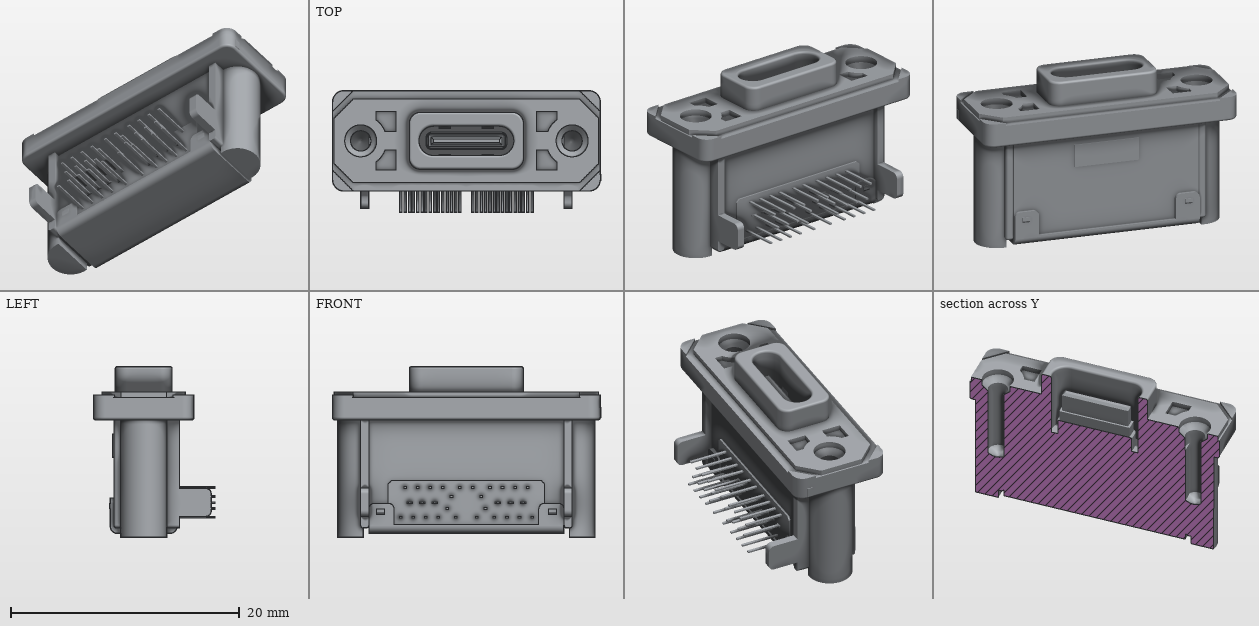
import cadquery as cq
import math


FLANGE_LENGTH = 23.44
FLANGE_WIDTH = 8.8
FLANGE_BOTTOM = 10.27
FLANGE_TOP = 12.23
CORNER_TOP = 12.47
FLANGE_CORNER_RADIUS = 1.0
FLANGE_BOTTOM_FILLET = 0.22
CORNER_LEG = 1.83
PLATE_LENGTH = 23.16
PLATE_WIDTH = 7.3
PLATE_CHAMFER = 1.67
PLATE_TOP = 12.73
GATE_DEPTH = 0.06
GATE_WIDTH = 0.5
GATE_Y = -3.2
GATE_TOP = 11.35

PLUG_LENGTH = 10.0
PLUG_WIDTH = 5.0
PLUG_TOP = 14.95
PLUG_CORNER_RADIUS = 1.0
PLUG_TOP_FILLET = 0.22
CAVITY_LENGTH = 8.3
CAVITY_WIDTH = 2.56
CAVITY_DEPTH = 6.2
CAVITY_MOUTH_FILLET = 0.22

TONGUE_BASE_LENGTH = 7.07
TONGUE_BASE_WIDTH = 1.53
TONGUE_BASE_HEIGHT = 1.5
TONGUE_BASE_RADIUS = 0.5
TONGUE_BASE_CHAMFER = 0.1
TONGUE_STEP_LENGTH = 6.6
TONGUE_STEP_WIDTH = 1.0
TONGUE_STEP_HEIGHT = 1.0
TONGUE_LENGTH = 6.2
TONGUE_WIDTH = 0.7
TONGUE_TIP_DEPTH = 1.8
TONGUE_TIP_CHAMFER = 0.2
SPRING_X = 1.88
SPRING_LENGTH = 1.0
SPRING_HEIGHT = 0.8
SPRING_TOP_DEPTH = 3.0
REAR_SPRING_REACH = 0.18
FRONT_SPRING_REACH = 0.08

HOLE_X = 9.25
TOWER_RADIUS = 2.02
TOWER_FLAT_X = 9.02
HOLE_DIAMETER = 1.78
COUNTERBORE_DIAMETER = 2.8
COUNTERBORE_DEPTH = 0.58
HOLE_DEPTH = 8.0
DRILL_TIP_ANGLE = 118.0

POCKET_OUTER_X = 7.93
POCKET_INNER_X = 6.14
POCKET_NEAR_Y = 0.81
POCKET_FAR_Y = 2.56
POCKET_RELIEF_RADIUS = 2.28
POCKET_DEPTH = PLATE_TOP - FLANGE_TOP

BODY_HALF_LENGTH = 8.54
BODY_HALF_WIDTH = 2.6
BODY_BOTTOM = 0.82
BRACKET_THICKNESS = HOLE_X - BODY_HALF_LENGTH
BRACKET_FRONT_Y = -3.15
BRACKET_FILLET = 0.23
LEG_TIP_Y = -5.92
LEG_BOTTOM = 1.82
LEG_TOP = 4.3
LEG_FILLET = 0.5
PANEL_HALF_LENGTH = 6.84
PANEL_THICKNESS = 0.17
PANEL_BOTTOM = 1.13
PANEL_TOP = 4.96
PANEL_CHAMFER = 0.28
REAR_PAD_LENGTH = 6.0
REAR_PAD_THICKNESS = 0.13
REAR_PAD_BOTTOM = 7.0
REAR_PAD_TOP = 9.05

STRAP_HALF_WIDTH = 2.93
STRAP_BOTTOM = 0.34
STRAP_TOP = PANEL_BOTTOM
STRAP_BEND_RADIUS = 0.63
EAR_INNER_X = 6.33
EAR_OUTER_X = BODY_HALF_LENGTH
EAR_RADIUS = 0.5
FRONT_EAR_TOP = 2.98
REAR_EAR_TOP = 3.45
HOOK_WIDTH = 0.69
HOOK_X = 7.52
HOOK_HEIGHT = 0.5
HOOK_DROP = 1.0
HOOK_REACH = 0.08
HOOK_BEVEL_HEIGHT = 0.15

PIN_WIDTH = 0.23
PIN_HEIGHT = 0.15
PIN_TIP_Y = -6.25
PIN_PITCH = 1.1
SHOULDER_WIDTH = 0.48
SHOULDER_TIP_Y = -2.9
TOP_ROW_Z = 4.37
TOP_ROW_X = [0.57] + [2.06 + PIN_PITCH * i for i in range(4)]
UPPER_ROW_Z = 3.58
UPPER_ROW_X = [1.31]
MIDDLE_ROW_Z = 3.02
MIDDLE_ROW_X = [2.76 + PIN_PITCH * i for i in range(3)]
LOWER_ROW_Z = 2.52
LOWER_ROW_X = [1.67]
BOTTOM_ROW_Z = 1.75
BOTTOM_ROW_X = [0.92] + [2.45 + PIN_PITCH * i for i in range(4)]

SIDES = (-1, 1)


def box_between(x0, x1, y0, y1, z0, z1):
    """Box spanning two opposite corners given in any order."""
    size = (abs(x1 - x0), abs(y1 - y0), abs(z1 - z0))
    low = (min(x0, x1), min(y0, y1), min(z0, z1))
    return cq.Workplane("XY").box(*size, centered=False).translate(low)


def centred_block(length, width, z0, z1):
    """Block centred on the plug axis."""
    return box_between(-length / 2, length / 2, -width / 2, width / 2, z0, z1)


def flange():
    """Rounded flange with raised corner triangles and the gate mark."""
    solid = centred_block(FLANGE_LENGTH, FLANGE_WIDTH, FLANGE_BOTTOM, CORNER_TOP)
    solid = solid.edges("|Z").fillet(FLANGE_CORNER_RADIUS)
    solid = solid.faces("<Z").edges().fillet(FLANGE_BOTTOM_FILLET)
    rim_recess = centred_block(FLANGE_LENGTH, FLANGE_WIDTH, FLANGE_TOP, CORNER_TOP)
    solid = solid.cut(rim_recess.edges("|Z").chamfer(CORNER_LEG))
    gate_start = FLANGE_LENGTH / 2 - GATE_DEPTH
    gate_end = FLANGE_LENGTH / 2 + GATE_DEPTH
    gate = box_between(
        gate_start, gate_end,
        GATE_Y - GATE_WIDTH / 2, GATE_Y + GATE_WIDTH / 2,
        FLANGE_BOTTOM + FLANGE_BOTTOM_FILLET, GATE_TOP,
    )
    return solid.union(gate)


def cover_plate():
    """Octagonal plate on top of the flange."""
    solid = centred_block(PLATE_LENGTH, PLATE_WIDTH, FLANGE_TOP, PLATE_TOP)
    return solid.edges("|Z").chamfer(PLATE_CHAMFER)


def plug_shroud():
    """Solid shroud with rounded corners and a rounded top rim."""
    solid = centred_block(PLUG_LENGTH, PLUG_WIDTH, FLANGE_TOP, PLUG_TOP)
    solid = solid.edges("|Z").fillet(PLUG_CORNER_RADIUS)
    return solid.faces(">Z").edges().fillet(PLUG_TOP_FILLET)


def screw_tower(side):
    """Half-round tower with a flat facing the body."""
    solid = (
        cq.Workplane("XY").center(side * HOLE_X, 0)
        .circle(TOWER_RADIUS).extrude(FLANGE_TOP)
    )
    outside = HOLE_X + 2 * TOWER_RADIUS
    keep = box_between(
        side * TOWER_FLAT_X, side * outside, -TOWER_RADIUS, TOWER_RADIUS, 0, FLANGE_TOP
    )
    return solid.intersect(keep)


def screw_hole(side):
    """Counterbore, 45 degree cone, pilot hole and drill tip."""
    bore_radius = COUNTERBORE_DIAMETER / 2
    hole_radius = HOLE_DIAMETER / 2
    bore_z = PLATE_TOP - COUNTERBORE_DEPTH
    cone_z = bore_z - (bore_radius - hole_radius)
    floor_z = PLATE_TOP - HOLE_DEPTH
    tip_z = floor_z - hole_radius / math.tan(math.radians(DRILL_TIP_ANGLE / 2))
    profile = (
        cq.Workplane("XZ")
        .moveTo(0, PLATE_TOP)
        .lineTo(bore_radius, PLATE_TOP)
        .lineTo(bore_radius, bore_z)
        .lineTo(hole_radius, cone_z)
        .lineTo(hole_radius, floor_z)
        .lineTo(0, tip_z)
        .close()
    )
    return profile.revolve(360, (0, 0, 0), (0, 1, 0)).translate((side * HOLE_X, 0, 0))


def keyed_pocket(x_side, y_side):
    """Rectangular pocket with one corner left by an arc around the screw hole."""
    floor_z = PLATE_TOP - POCKET_DEPTH
    solid = box_between(
        x_side * POCKET_INNER_X, x_side * POCKET_OUTER_X,
        y_side * POCKET_NEAR_Y, y_side * POCKET_FAR_Y, floor_z, PLATE_TOP,
    )
    relief = (
        cq.Workplane("XY").workplane(offset=floor_z).center(x_side * HOLE_X, 0)
        .circle(POCKET_RELIEF_RADIUS).extrude(POCKET_DEPTH)
    )
    return solid.cut(relief)


def side_bracket(side):
    """Upright side plate whose leg reaches forward as a board lock."""
    inner_x = side * BODY_HALF_LENGTH
    outer_x = inner_x + side * BRACKET_THICKNESS
    upright = box_between(
        inner_x, outer_x, BRACKET_FRONT_Y, BODY_HALF_WIDTH, BODY_BOTTOM, FLANGE_TOP
    )
    outer_face = ">X" if side > 0 else "<X"
    upright = upright.faces("<Z").edges("|Y").fillet(BRACKET_FILLET)
    upright = upright.faces(">Y").edges("|Z").edges(outer_face).fillet(BRACKET_FILLET)
    leg = box_between(inner_x, outer_x, LEG_TIP_Y, 0, LEG_BOTTOM, LEG_TOP)
    leg = leg.faces("<Y").edges("|X").fillet(LEG_FILLET)
    return upright.union(leg)


def body():
    """Main housing with the raised front panel and the thin rear pad."""
    solid = box_between(
        -BODY_HALF_LENGTH, BODY_HALF_LENGTH, -BODY_HALF_WIDTH, BODY_HALF_WIDTH,
        BODY_BOTTOM, FLANGE_BOTTOM,
    )
    panel = box_between(
        -PANEL_HALF_LENGTH, PANEL_HALF_LENGTH,
        -BODY_HALF_WIDTH - PANEL_THICKNESS, -BODY_HALF_WIDTH, PANEL_BOTTOM, PANEL_TOP,
    )
    panel = panel.faces(">Z").edges("|Y").chamfer(PANEL_CHAMFER)
    pad = box_between(
        -REAR_PAD_LENGTH / 2, REAR_PAD_LENGTH / 2,
        BODY_HALF_WIDTH, BODY_HALF_WIDTH + REAR_PAD_THICKNESS,
        REAR_PAD_BOTTOM, REAR_PAD_TOP,
    )
    return solid.union(panel).union(pad)


def strap():
    """Bottom strap with bends rounded up onto the front and rear faces."""
    solid = box_between(
        -BODY_HALF_LENGTH, BODY_HALF_LENGTH, -STRAP_HALF_WIDTH, STRAP_HALF_WIDTH,
        STRAP_BOTTOM, STRAP_TOP,
    )
    return solid.faces("<Z").edges("|X").fillet(STRAP_BEND_RADIUS)


def latch_ear(x_side, y_side, top_z):
    """Rounded ear of the strap with a bevelled latch hook standing out of it."""
    face_y = y_side * STRAP_HALF_WIDTH
    ear = box_between(
        x_side * EAR_INNER_X, x_side * EAR_OUTER_X,
        y_side * BODY_HALF_WIDTH, face_y, STRAP_BOTTOM + STRAP_BEND_RADIUS, top_z,
    )
    ear = ear.faces(">Z").edges("|Y").fillet(EAR_RADIUS)
    hook_bottom = top_z - HOOK_DROP
    hook_y = face_y + y_side * HOOK_REACH
    root_y = y_side * BODY_HALF_WIDTH
    hook = (
        cq.Workplane("YZ")
        .moveTo(root_y, hook_bottom)
        .lineTo(face_y, hook_bottom)
        .lineTo(hook_y, hook_bottom + HOOK_BEVEL_HEIGHT)
        .lineTo(hook_y, hook_bottom + HOOK_HEIGHT)
        .lineTo(root_y, hook_bottom + HOOK_HEIGHT)
        .close()
        .extrude(HOOK_WIDTH / 2, both=True)
        .translate((x_side * HOOK_X, 0, 0))
    )
    return ear.union(hook)


def tongue():
    """Contact tongue standing on a base and a narrower step at the cavity floor."""
    floor_z = PLUG_TOP - CAVITY_DEPTH
    base_top_z = floor_z + TONGUE_BASE_HEIGHT
    base = centred_block(TONGUE_BASE_LENGTH, TONGUE_BASE_WIDTH, floor_z, base_top_z)
    base = base.edges("|Z").fillet(TONGUE_BASE_RADIUS)
    base = base.faces(">Z").edges().chamfer(TONGUE_BASE_CHAMFER)
    blade = centred_block(TONGUE_LENGTH, TONGUE_WIDTH, floor_z, PLUG_TOP - TONGUE_TIP_DEPTH)
    blade = blade.faces(">Z").edges().chamfer(TONGUE_TIP_CHAMFER)
    step_top_z = base_top_z + TONGUE_STEP_HEIGHT
    step = centred_block(TONGUE_STEP_LENGTH, TONGUE_STEP_WIDTH, base_top_z, step_top_z)
    return base.union(step).union(blade)


def spring_bump(x, y_side, reach):
    """Triangular bump on a long wall of the cavity."""
    wall_y = y_side * CAVITY_WIDTH / 2
    top_z = PLUG_TOP - SPRING_TOP_DEPTH
    return (
        cq.Workplane("YZ")
        .moveTo(wall_y, top_z)
        .lineTo(wall_y - y_side * reach, top_z - SPRING_HEIGHT / 2)
        .lineTo(wall_y, top_z - SPRING_HEIGHT)
        .close()
        .extrude(SPRING_LENGTH / 2, both=True)
        .translate((x, 0, 0))
    )


def contact_bar(x, z, width, tip_y):
    """Straight bar running forward out of the body."""
    return box_between(
        x - width / 2, x + width / 2, -BODY_HALF_WIDTH, tip_y,
        z - PIN_HEIGHT / 2, z + PIN_HEIGHT / 2,
    )


def contact_tails():
    """Five mirrored rows of tails; the middle row has wide shoulders."""
    rows = (
        (TOP_ROW_Z, TOP_ROW_X),
        (UPPER_ROW_Z, UPPER_ROW_X),
        (MIDDLE_ROW_Z, MIDDLE_ROW_X),
        (LOWER_ROW_Z, LOWER_ROW_X),
        (BOTTOM_ROW_Z, BOTTOM_ROW_X),
    )
    bars = []
    for side in SIDES:
        for z, positions in rows:
            for x in positions:
                bars.append(contact_bar(side * x, z, PIN_WIDTH, PIN_TIP_Y))
        for x in MIDDLE_ROW_X:
            bars.append(contact_bar(side * x, MIDDLE_ROW_Z, SHOULDER_WIDTH, SHOULDER_TIP_Y))
    return bars


result = flange().union(cover_plate()).union(plug_shroud())
for x_side in SIDES:
    result = result.union(screw_tower(x_side)).union(side_bracket(x_side))

for x_side in SIDES:
    result = result.cut(screw_hole(x_side))
    for y_side in SIDES:
        result = result.cut(keyed_pocket(x_side, y_side))

result = result.union(body()).union(strap())
for x_side in SIDES:
    result = result.union(latch_ear(x_side, -1, FRONT_EAR_TOP))
    result = result.union(latch_ear(x_side, 1, REAR_EAR_TOP))

result = result.faces(">Z").workplane(origin=(0, 0, PLUG_TOP)).slot2D(CAVITY_LENGTH, CAVITY_WIDTH)
result = result.cutBlind(-CAVITY_DEPTH)
result = result.faces(">Z").wires(cq.selectors.LengthNthSelector(0)).fillet(CAVITY_MOUTH_FILLET)
result = result.union(tongue())
for x_side in SIDES:
    result = result.union(spring_bump(x_side * SPRING_X, 1, REAR_SPRING_REACH))
    result = result.union(spring_bump(x_side * SPRING_X, -1, FRONT_SPRING_REACH))

for bar in contact_tails():
    result = result.union(bar)